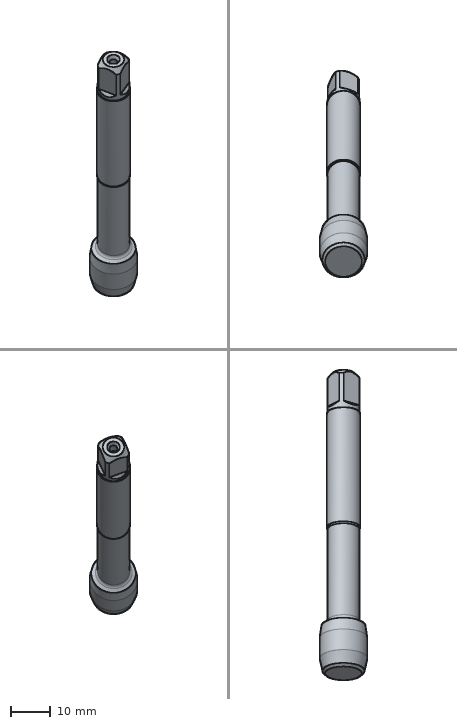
import cadquery as cq
import math

TOTAL_HEIGHT = 82.0
HEAD_HEIGHT = 12.95

SHANK_DIAMETER = 8.5
NECK_DIAMETER = 8.16
NECK_TOP = 39.4
NECK_CONE_HEIGHT = 0.5
FOOT_FILLET_RADIUS = 1.1
FOOT_SLOPE = 30.0
COLLAR_DIAMETER = 8.2
COLLAR_BOTTOM = 71.2

SQUARE_WIDTH = 6.55
SQUARE_SIDES = 4
SQUARE_HEIGHT = 9.0
TIP_FACE_DIAMETER = 5.4

CENTRE_HOLE_DIAMETER = 2.0
CENTRE_HOLE_DEPTH = 4.0
COUNTERSINK_DIAMETER = 3.2
COUNTERSINK_ANGLE = 60.0
DRILL_POINT_ANGLE = 120.0

HEAD_DIAMETER = 12.16
HEAD_BAND_BOTTOM = 4.1
HEAD_BAND_TOP = 9.75
HEAD_BOTTOM_CHAMFER = 0.7
HEAD_LOWER_DIAMETER = 10.7
HEAD_UPPER_DIAMETER = 11.25


def revolve_profile(points):
    """Revolve a closed (radius, height) outline about the Z axis."""
    return cq.Workplane("XZ").polyline(points).close().revolve(360, (0, 0), (0, 1))


def make_shank_blank():
    """Turned form of the shank before the square is milled."""
    shank_radius = SHANK_DIAMETER / 2
    neck_radius = NECK_DIAMETER / 2
    collar_radius = COLLAR_DIAMETER / 2
    tip_radius = TIP_FACE_DIAMETER / 2
    collar_chamfer = shank_radius - collar_radius
    tip_chamfer = collar_radius - tip_radius
    foot_radius = HEAD_UPPER_DIAMETER / 2

    slope = math.radians(FOOT_SLOPE)
    turn = math.pi / 2 - slope
    ring_radius = neck_radius + FOOT_FILLET_RADIUS * (1 - math.cos(turn))
    ring_height = HEAD_HEIGHT + (foot_radius - ring_radius) * math.tan(slope)
    fillet_top = ring_height + FOOT_FILLET_RADIUS * math.sin(turn)
    fillet_middle = (
        neck_radius + FOOT_FILLET_RADIUS * (1 - math.cos(turn / 2)),
        fillet_top - FOOT_FILLET_RADIUS * math.sin(turn / 2),
    )
    return (
        cq.Workplane("XZ")
        .moveTo(0, HEAD_HEIGHT)
        .lineTo(foot_radius, HEAD_HEIGHT)
        .lineTo(ring_radius, ring_height)
        .threePointArc(fillet_middle, (neck_radius, fillet_top))
        .lineTo(neck_radius, NECK_TOP)
        .lineTo(shank_radius, NECK_TOP + NECK_CONE_HEIGHT)
        .lineTo(shank_radius, COLLAR_BOTTOM - collar_chamfer)
        .lineTo(collar_radius, COLLAR_BOTTOM)
        .lineTo(collar_radius, TOTAL_HEIGHT - tip_chamfer)
        .lineTo(tip_radius, TOTAL_HEIGHT)
        .lineTo(0, TOTAL_HEIGHT)
        .close()
        .revolve(360, (0, 0), (0, 1))
    )


def make_flat_cutter():
    """Wedge that mills one flat of the square, with a 45 degree runout at its foot."""
    flat_offset = SQUARE_WIDTH / 2
    flat_bottom = TOTAL_HEIGHT - SQUARE_HEIGHT
    cut_depth = SHANK_DIAMETER - flat_offset
    return (
        cq.Workplane("XZ")
        .polyline([
            (flat_offset, flat_bottom),
            (flat_offset + cut_depth, flat_bottom - cut_depth),
            (flat_offset + cut_depth, TOTAL_HEIGHT),
            (flat_offset, TOTAL_HEIGHT),
        ])
        .close()
        .extrude(SHANK_DIAMETER, both=True)
    )


def make_centre_hole():
    """Countersunk drilled hole with a conical bottom."""
    hole_radius = CENTRE_HOLE_DIAMETER / 2
    sink_radius = COUNTERSINK_DIAMETER / 2
    sink_depth = (sink_radius - hole_radius) / math.tan(math.radians(COUNTERSINK_ANGLE / 2))
    point_depth = hole_radius / math.tan(math.radians(DRILL_POINT_ANGLE / 2))
    hole_bottom = TOTAL_HEIGHT - CENTRE_HOLE_DEPTH
    return revolve_profile([
        (0, TOTAL_HEIGHT),
        (sink_radius, TOTAL_HEIGHT),
        (hole_radius, TOTAL_HEIGHT - sink_depth),
        (hole_radius, hole_bottom),
        (0, hole_bottom - point_depth),
    ])


def make_shank():
    """Turned shank with four milled flats and a centre hole."""
    shank = make_shank_blank()
    for side in range(SQUARE_SIDES):
        angle = side * 360 / SQUARE_SIDES
        shank = shank.cut(make_flat_cutter().rotate((0, 0, 0), (0, 0, 1), angle))
    return shank.cut(make_centre_hole())


def make_head():
    """Solid round head with the shank seated on its top face."""
    band_radius = HEAD_DIAMETER / 2
    lower_radius = HEAD_LOWER_DIAMETER / 2
    upper_radius = HEAD_UPPER_DIAMETER / 2
    return revolve_profile([
        (0, 0),
        (lower_radius - HEAD_BOTTOM_CHAMFER, 0),
        (lower_radius, HEAD_BOTTOM_CHAMFER),
        (band_radius, HEAD_BAND_BOTTOM),
        (band_radius, HEAD_BAND_TOP),
        (upper_radius, HEAD_HEIGHT),
        (0, HEAD_HEIGHT),
    ])


shank = make_shank()
head = make_head()
result = cq.Compound.makeCompound([shank.val(), head.val()])